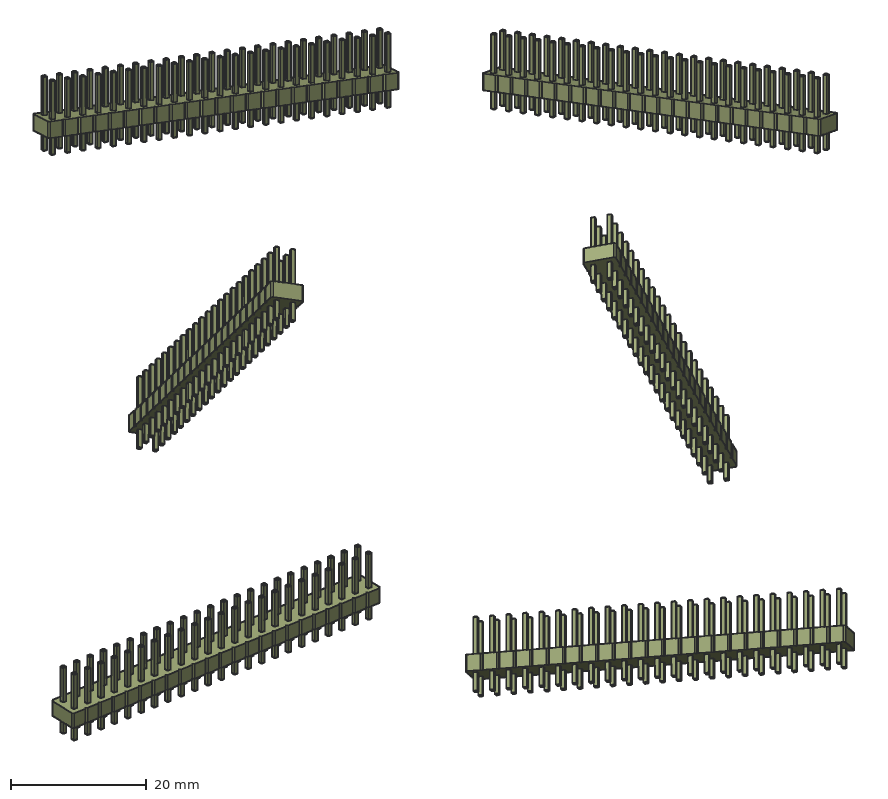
import cadquery as cq

body_length = 58.4
row_count = 23
column_count = 2
pitch = body_length / row_count
body_width = column_count * pitch
body_height = pitch
corner_cut = 0.25

pin_side = 0.65
pin_above = 6.0
pin_below = 3.0
pin_tip_chamfer = 0.2


def make_segment(center_y):
    """One row's block; the chamfers of neighbouring blocks meet in V-grooves."""
    return (
        cq.Workplane("XY")
        .center(0, center_y)
        .rect(body_width, pitch)
        .extrude(body_height)
        .edges("|Z")
        .chamfer(corner_cut)
    )


def make_pin(center_x, center_y):
    """Square pin through the body, chamfered around both ends."""
    return (
        cq.Workplane("XY", origin=(0, 0, -pin_below))
        .center(center_x, center_y)
        .rect(pin_side, pin_side)
        .extrude(pin_below + body_height + pin_above)
        .faces("<Z or >Z")
        .chamfer(pin_tip_chamfer)
    )


def centered_positions(count):
    """Positions one pitch apart, centred on zero."""
    return [(index - (count - 1) / 2) * pitch for index in range(count)]


header = cq.Workplane("XY")
for row_y in centered_positions(row_count):
    header = header.add(make_segment(row_y))
    for column_x in centered_positions(column_count):
        header = header.add(make_pin(column_x, row_y))

result = header.combine(clean=True)